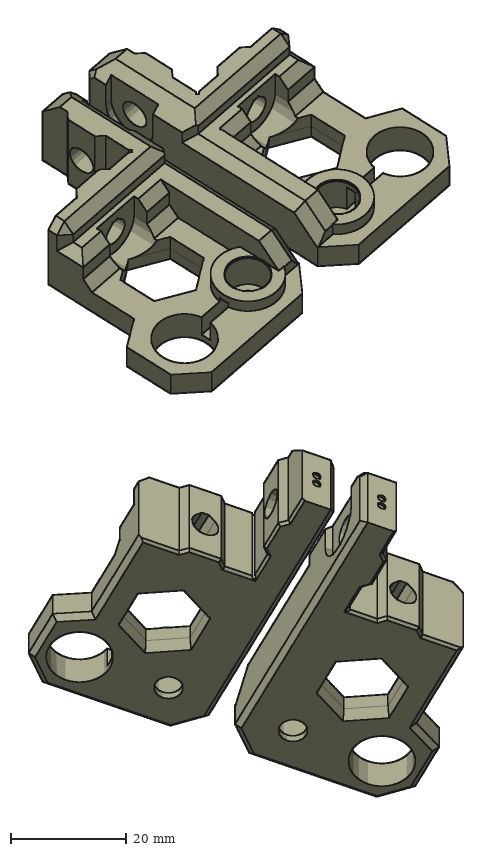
import cadquery as cq
import math


length = 58.0
half_width = 36.9
half_gap = 2.5

base_height = 6.0
base_chamfer = 1.0
corner_cut = 5.0
lug_tip_x = 42.9
lug_root_x = 39.6

upright_height = 17.0
wall_x = 20.0
wall_back_x = 24.0
wall_end_y = 31.0
arm_width = 6.5
arm_end_cut = 4.0
arm_top_chamfer = 3.4
arm_face_chamfer = 1.0
edge_chamfer = 2.0
foot_chamfer = 0.5
corner_relief_d = 0.7

pad_height = 1.3
pad_half_width = 3.0
arm_hole_x = 10.05
arm_hole_z = 8.65
arm_hole_d = 5.3
nut_slot_width = 10.7
nut_slot_depth = 1.4
wall_hole_y = 18.9
wall_hole_z = 8.0
wall_hole_d = 5.0
wall_hole_top_rise = 2.9
head_recess_x = 25.0
head_recess_d = 10.0

step_height = 13.0
step_back_x = 28.0
ramp_size = 2.0
rib_width = 5.4
rib_end_x = length - corner_cut
rib_slope_x = 48.4

hex_x = 35.7
hex_across_corners = 15.35
hex_flare_height = 3.0
hex_flare_across_corners = 15.95

rod_x = 49.25
rod_y = 28.9
rod_d = 11.6
boss_y = 11.9
boss_d = 13.0
boss_top = 8.5
boss_bore_d = 8.0
boss_lip_d = 8.2
boss_lip_depth = 0.4
boss_hole_d = 5.0
slot_floor = 1.5
slot_top = 6.95
slot_width = 2.0

dot_d = 1.5
dot_y = 6.2
dot_heights = (5.6, 7.6)
dot_depth = 0.45

arm_y = half_gap + arm_width


def box(x0, x1, y0, y1, z0, z1):
    return cq.Workplane("XY").box(x1 - x0, y1 - y0, z1 - z0, centered=False).translate((x0, y0, z0))


def along_y(points, y0, y1):
    """Extrude an XZ outline from y0 to y1."""
    return cq.Workplane("XZ", origin=(0, y0, 0)).polyline(points).close().extrude(y0 - y1)


def open_topped_slot(face, width, rise, depth):
    """U-shaped slot whose round floor is centred on the origin of the given face."""
    return (
        face.moveTo(-width / 2, rise)
        .lineTo(-width / 2, 0)
        .threePointArc((0, -width / 2), (width / 2, 0))
        .lineTo(width / 2, rise)
        .close()
        .extrude(depth)
    )


def make_base():
    outline = [
        (wall_x, half_gap),
        (length - corner_cut, half_gap),
        (length, half_gap + corner_cut),
        (length, half_width - corner_cut),
        (length - corner_cut, half_width),
        (lug_tip_x, half_width),
        (lug_root_x, wall_end_y),
        (wall_x, wall_end_y),
    ]
    return cq.Workplane("XY").polyline(outline).close().extrude(base_height)


def make_upright():
    """L-shaped arm and wall with a tapered pad on each leg."""
    pad_foot = pad_half_width + pad_height
    outline = [
        (0, half_gap),
        (wall_back_x, half_gap),
        (wall_back_x, wall_end_y),
        (wall_x, wall_end_y),
        (wall_x, wall_hole_y + pad_foot),
        (wall_x - pad_height, wall_hole_y + pad_half_width),
        (wall_x - pad_height, wall_hole_y - pad_half_width),
        (wall_x, wall_hole_y - pad_foot),
        (wall_x, arm_y),
        (arm_hole_x + pad_foot, arm_y),
        (arm_hole_x + pad_half_width, arm_y + pad_height),
        (arm_hole_x - pad_half_width, arm_y + pad_height),
        (arm_hole_x - pad_foot, arm_y),
        (0, arm_y),
    ]
    upright = cq.Workplane("XY").polyline(outline).close().extrude(upright_height)

    back_edges = upright.faces(">X").edges("not <Z")
    end_edge = upright.faces(">Y").edges(">Z")
    upright = upright.newObject(back_edges.vals() + end_edge.vals()).chamfer(edge_chamfer)

    end_cut = along_y(
        [
            (0, upright_height - arm_end_cut),
            (arm_end_cut, upright_height),
            (0, upright_height),
        ],
        half_gap,
        arm_y,
    )
    upright = upright.cut(end_cut)
    slope_middle = (arm_end_cut / 2, half_gap, upright_height - arm_end_cut / 2)
    slope_edge = upright.edges(cq.selectors.NearestToPointSelector(slope_middle))
    arm_end_edge = upright.faces("<X").edges("<Y")
    upright = upright.newObject(slope_edge.vals() + arm_end_edge.vals()).chamfer(arm_face_chamfer)

    top_wedge = (
        cq.Workplane("YZ")
        .polyline(
            [
                (half_gap, upright_height),
                (half_gap + arm_top_chamfer, upright_height),
                (half_gap, upright_height - arm_top_chamfer),
            ]
        )
        .close()
        .extrude(wall_back_x)
    )
    return upright.cut(top_wedge)


def make_step():
    step = box(wall_x, step_back_x, half_gap + rib_width, wall_end_y, 0, step_height)
    step = step.edges("(>X and >Z) or (>Y and >Z)").chamfer(edge_chamfer)
    ramp = along_y(
        [
            (step_back_x, base_height),
            (step_back_x + ramp_size, base_height),
            (step_back_x, base_height + ramp_size),
        ],
        half_gap + rib_width,
        wall_end_y,
    )
    return step.union(ramp)


def make_rib():
    slope_drop = rib_end_x - rib_slope_x
    outline = [
        (wall_x, 0),
        (rib_end_x, 0),
        (rib_end_x, step_height - slope_drop),
        (rib_slope_x, step_height),
        (wall_x, step_height),
    ]
    rib = along_y(outline, half_gap, half_gap + rib_width)
    inner_edges = rib.faces("<Y").edges("not(<Z or <X or >X)")
    return rib.newObject(inner_edges.vals()).chamfer(edge_chamfer)


def chamfer_bottom(body):
    """Large chamfer around the base and inner face, small one under the clamping faces."""
    tolerance = 0.01
    base_edges = []
    for edge in body.faces("<Z").edges().vals():
        middle = edge.Center()
        on_inner_face = abs(middle.y - half_gap) < tolerance
        if on_inner_face or middle.x > wall_x + tolerance:
            base_edges.append(edge)
    body = body.newObject(base_edges).chamfer(base_chamfer)
    foot_edges = []
    for edge in body.faces("<Z").edges().vals():
        middle = edge.Center()
        if tolerance < middle.x < wall_x + tolerance and middle.y > arm_y - tolerance:
            foot_edges.append(edge)
    return body.newObject(foot_edges).chamfer(foot_chamfer)


def cut_corner_relief(body):
    """Small round groove up the inside corner between the arm and the wall."""
    relief = (
        cq.Workplane("XY", origin=(wall_x, arm_y, 0))
        .circle(corner_relief_d / 2)
        .extrude(upright_height)
    )
    return body.cut(relief)


def cut_arm_features(body):
    hole = (
        cq.Workplane("XZ", origin=(arm_hole_x, 0, arm_hole_z))
        .circle(arm_hole_d / 2)
        .extrude(-half_width)
    )
    face = cq.Workplane("XZ", origin=(arm_hole_x, half_gap, arm_hole_z))
    nut_slot = open_topped_slot(face, nut_slot_width, upright_height - arm_hole_z, -nut_slot_depth)
    dots = (
        cq.Workplane("YZ")
        .pushPoints([(dot_y, z) for z in dot_heights])
        .circle(dot_d / 2)
        .extrude(dot_depth)
    )
    return body.cut(hole).cut(nut_slot).cut(dots)


def cut_wall_features(body):
    radius = wall_hole_d / 2
    tangent = radius * math.sqrt(0.5)
    roof_half_width = 2 * tangent - wall_hole_top_rise
    hole = (
        cq.Workplane("YZ", origin=(0, wall_hole_y, wall_hole_z))
        .moveTo(-tangent, tangent)
        .threePointArc((0, -radius), (tangent, tangent))
        .lineTo(roof_half_width, wall_hole_top_rise)
        .lineTo(-roof_half_width, wall_hole_top_rise)
        .close()
        .extrude(hex_x)
    )
    face = cq.Workplane("YZ", origin=(head_recess_x, wall_hole_y, wall_hole_z))
    recess = open_topped_slot(face, head_recess_d, step_height - wall_hole_z, hex_x - head_recess_x)
    return body.cut(hole).cut(recess)


def cut_base_features(body):
    window_axis = cq.Workplane("XY", origin=(hex_x, wall_hole_y, 0))
    window = window_axis.polygon(6, hex_across_corners).extrude(base_height)
    flare = (
        window_axis.polygon(6, hex_flare_across_corners)
        .workplane(offset=hex_flare_height)
        .polygon(6, hex_across_corners)
        .loft()
    )
    rod_hole = cq.Workplane("XY", origin=(rod_x, rod_y, 0)).circle(rod_d / 2).extrude(base_height)
    slot = box(rod_x - slot_width / 2, rod_x + slot_width / 2, boss_y, rod_y, slot_floor, slot_top)
    return body.cut(window).cut(flare).cut(rod_hole).cut(slot)


def add_boss(body):
    axis = cq.Workplane("XY", origin=(rod_x, boss_y, 0))
    return body.union(axis.circle(boss_d / 2).extrude(boss_top))


def bore_boss(body):
    axis = cq.Workplane("XY", origin=(rod_x, boss_y, 0))
    hole = axis.circle(boss_hole_d / 2).extrude(boss_top)
    bore = axis.workplane(offset=slot_floor).circle(boss_bore_d / 2).extrude(boss_top - slot_floor)
    lip = axis.workplane(offset=boss_top - boss_lip_depth).circle(boss_lip_d / 2).extrude(boss_lip_depth)
    return body.cut(hole).cut(bore).cut(lip)


def make_bracket():
    body = make_base().union(make_upright()).union(make_step()).union(make_rib()).clean()
    body = chamfer_bottom(body)
    body = add_boss(body)
    body = cut_corner_relief(body)
    body = cut_arm_features(body)
    body = cut_wall_features(body)
    body = cut_base_features(body)
    return bore_boss(body)


rear_bracket = make_bracket()
front_bracket = rear_bracket.mirror("XZ")

result = cq.Compound.makeCompound([rear_bracket.val(), front_bracket.val()])